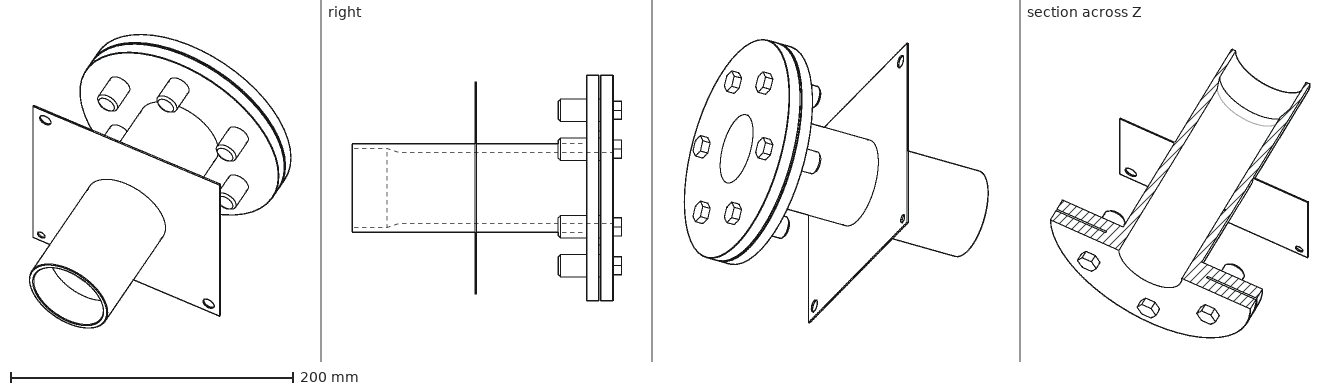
import cadquery as cq
import math

overall_length = 191.0
head_height = 6.0
flange_diameter = 160.0
flange_thickness = 9.0
flange_chamfer = 0.4
flange_gap = 1.0
gasket_diameter = 81.0

pipe_diameter = 63.0
pipe_edge_chamfer = 0.5
bore_diameter = 50.0
socket_diameter = 56.0
socket_depth = 25.0
socket_cone_length = 9.2

bolt_count = 6
bolt_circle_radius = 55.0
first_bolt_angle = math.radians(30)
bolt_diameter = 16.0
bolt_projection = 20.0
bolt_chamfer = 1.7
head_across_flats = 13.0
head_sides = 6

plate_side = 150.1
plate_thickness = 1.1
plate_center_y = 87.7
large_hole_diameter = 9.0
upper_hole_offset = 65.1
lower_hole_offset = 66.0
small_hole_diameter = 6.0
small_hole_offset = 68.4

flange_back_y = overall_length - head_height
rear_flange_y = flange_back_y - flange_thickness
front_flange_y = rear_flange_y - flange_gap - flange_thickness
bolt_end_y = front_flange_y - bolt_projection


def plane_at(y):
    """Workplane across the pipe axis, with local X = X, local Y = Z and normal -Y."""
    return cq.Workplane("XZ", origin=(0, y, 0))


def cylinder(y_start, y_end, diameter):
    return plane_at(y_end).circle(diameter / 2).extrude(y_end - y_start)


def flange(y_start):
    disc = cylinder(y_start, y_start + flange_thickness, flange_diameter)
    return disc.edges().chamfer(flange_chamfer)


def bolt(x, z):
    shank = cylinder(bolt_end_y, flange_back_y, bolt_diameter).faces("<Y").chamfer(bolt_chamfer)
    across_corners = head_across_flats / math.cos(math.pi / head_sides)
    head = plane_at(overall_length).polygon(head_sides, across_corners).extrude(head_height)
    return shank.union(head).translate((x, 0, z))


def plate():
    sheet = plane_at(plate_center_y + plate_thickness / 2).rect(plate_side, plate_side)
    sheet = sheet.extrude(plate_thickness)
    large_holes = [(-upper_hole_offset, upper_hole_offset), (lower_hole_offset, -lower_hole_offset)]
    small_hole = [(-small_hole_offset, -small_hole_offset)]
    for places, diameter in ((large_holes, large_hole_diameter), (small_hole, small_hole_diameter)):
        cutter = plane_at(overall_length).pushPoints(places).circle(diameter / 2).extrude(overall_length)
        sheet = sheet.cut(cutter)
    return sheet


def bore():
    """Wide socket at the open end, narrowing through a cone to the through bore."""
    cone_end_y = socket_depth + socket_cone_length
    profile = [
        (0, 0),
        (socket_diameter / 2 + pipe_edge_chamfer, 0),
        (socket_diameter / 2, pipe_edge_chamfer),
        (socket_diameter / 2, socket_depth),
        (bore_diameter / 2, cone_end_y),
        (bore_diameter / 2, overall_length),
        (0, overall_length),
    ]
    return cq.Workplane("XY").polyline(profile).close().revolve(360, (0, 0, 0), (0, 1, 0))


body = cylinder(0, flange_back_y, pipe_diameter).faces("<Y").edges().chamfer(pipe_edge_chamfer)
body = body.union(flange(rear_flange_y)).union(flange(front_flange_y))
body = body.union(cylinder(front_flange_y, flange_back_y, gasket_diameter))
body = body.union(plate())
for index in range(bolt_count):
    angle = first_bolt_angle + index * 2 * math.pi / bolt_count
    body = body.union(bolt(bolt_circle_radius * math.cos(angle), bolt_circle_radius * math.sin(angle)))

result = body.cut(bore())